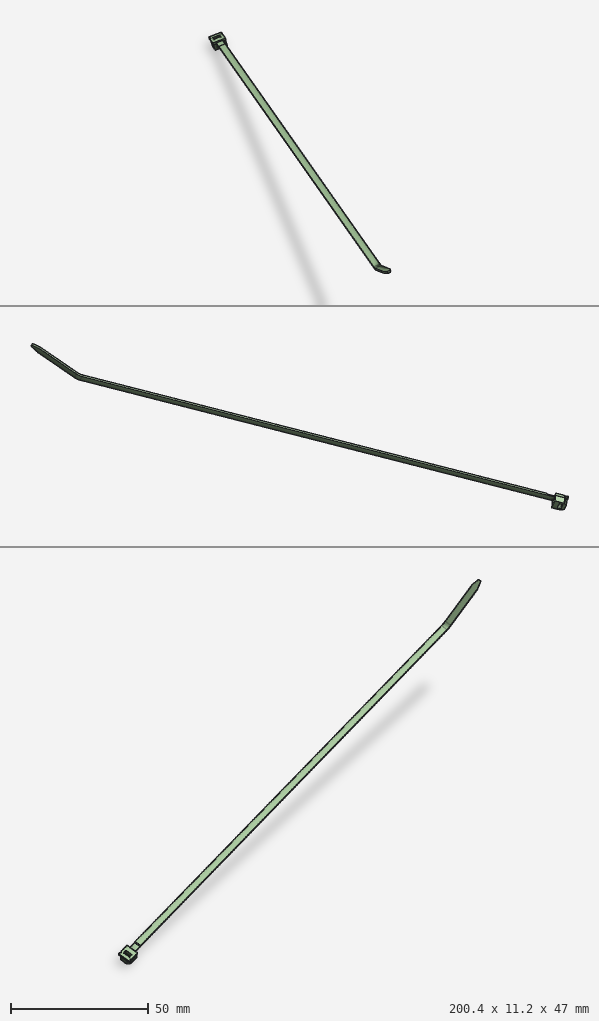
import cadquery as cq
import math

CLIMB_ANGLE = 9.9
DRIFT_ANGLE = 1.6
ROLL_ANGLE = 11.5

STRAP_WIDTH = 2.6
STRAP_THICKNESS = 0.8
BEND_X = 185.8
TAIL_LENGTH = 20.6
TAIL_ANGLE = 24.7
BEND_RADIUS = 5.0

TIP_LENGTH = 3.0
TIP_WIDTH = 0.8

NECK_END_X = 7.6
NECK_DROP = 0.3
NECK_RAMP = 0.5

HEAD_TOP = 0.2
HEAD_LENGTH = 4.8
HEAD_WIDTH = 5.0
FLANGE_THICKNESS = 1.0
BODY_HEIGHT = 2.5
BODY_SETBACK = 0.1
BODY_BEVEL = 1.0
SLOT_FRONT = 1.5
SLOT_LENGTH = 1.5
SLOT_WIDTH = 2.8
NOTCH_X = 1.0
NOTCH_SIZE = 0.8

HEAD_HEIGHT = FLANGE_THICKNESS + BODY_HEIGHT
HEAD_BOTTOM = HEAD_TOP - HEAD_HEIGHT


def make_strap():
    """Strap with neck, bend and raised tail, as one side profile extruded across its width."""
    angle = math.radians(TAIL_ANGLE)
    tail_dx = TAIL_LENGTH * math.cos(angle)
    tail_dz = TAIL_LENGTH * math.sin(angle)
    corner_shift = STRAP_THICKNESS * math.tan(angle / 2)
    start_x = HEAD_LENGTH / 2
    profile = (
        cq.Workplane("XZ")
        .moveTo(start_x, -STRAP_THICKNESS)
        .lineTo(BEND_X + corner_shift, -STRAP_THICKNESS)
        .lineTo(
            BEND_X + tail_dx + STRAP_THICKNESS * math.sin(angle),
            tail_dz - STRAP_THICKNESS * math.cos(angle),
        )
        .lineTo(BEND_X + tail_dx, tail_dz)
        .lineTo(BEND_X, 0)
        .lineTo(NECK_END_X + NECK_RAMP, 0)
        .lineTo(NECK_END_X, -NECK_DROP)
        .lineTo(start_x, -NECK_DROP)
        .close()
    )
    strap = profile.extrude(STRAP_WIDTH / 2, both=True)
    bend_edges = cq.selectors.BoxSelector(
        (BEND_X - STRAP_WIDTH, -STRAP_WIDTH, -STRAP_WIDTH),
        (BEND_X + STRAP_WIDTH, STRAP_WIDTH, STRAP_WIDTH),
    )
    strap = strap.edges("|Y").edges(bend_edges).fillet(BEND_RADIUS)
    return strap.intersect(make_plan(BEND_X + tail_dx + STRAP_THICKNESS * math.sin(angle)))


def make_plan(end_x):
    """Tall prism with the plan outline of the strap, tapering to the tip at end_x."""
    taper_x = end_x - TIP_LENGTH
    return (
        cq.Workplane("XY")
        .moveTo(0, -STRAP_WIDTH / 2)
        .lineTo(taper_x, -STRAP_WIDTH / 2)
        .lineTo(end_x, -TIP_WIDTH / 2)
        .lineTo(end_x, TIP_WIDTH / 2)
        .lineTo(taper_x, STRAP_WIDTH / 2)
        .lineTo(0, STRAP_WIDTH / 2)
        .close()
        .extrude(TAIL_LENGTH, both=True)
    )


def make_head():
    """Solid head: a flange over a slightly smaller body with bevelled front corners."""
    flange = (
        cq.Workplane("XY")
        .box(HEAD_LENGTH, HEAD_WIDTH, FLANGE_THICKNESS, centered=(False, True, False))
        .translate((0, 0, HEAD_TOP - FLANGE_THICKNESS))
    )
    body = (
        cq.Workplane("XY")
        .box(
            HEAD_LENGTH - 2 * BODY_SETBACK,
            HEAD_WIDTH - 2 * BODY_SETBACK,
            BODY_HEIGHT,
            centered=(False, True, False),
        )
        .edges("|Z and <X")
        .chamfer(BODY_BEVEL)
        .translate((BODY_SETBACK, 0, HEAD_BOTTOM))
    )
    return flange.union(body)


def make_side_notches():
    """Cutter for the upright V notch on each side of the head, just behind its front lip."""
    return (
        cq.Workplane("XY", origin=(NOTCH_X, 0, HEAD_BOTTOM))
        .pushPoints([(0, -HEAD_WIDTH / 2), (0, HEAD_WIDTH / 2)])
        .polygon(4, NOTCH_SIZE)
        .extrude(HEAD_HEIGHT)
    )


def make_slot():
    """Cutter for the opening that the strap threads through."""
    return (
        cq.Workplane("XY")
        .box(SLOT_LENGTH, SLOT_WIDTH, HEAD_HEIGHT, centered=(False, True, False))
        .translate((SLOT_FRONT, 0, HEAD_BOTTOM))
    )


tie = make_strap().union(make_head()).cut(make_slot()).cut(make_side_notches())
result = (
    tie.rotate((0, 0, 0), (1, 0, 0), ROLL_ANGLE)
    .rotate((0, 0, 0), (0, 1, 0), -CLIMB_ANGLE)
    .rotate((0, 0, 0), (0, 0, 1), -DRIFT_ANGLE)
)